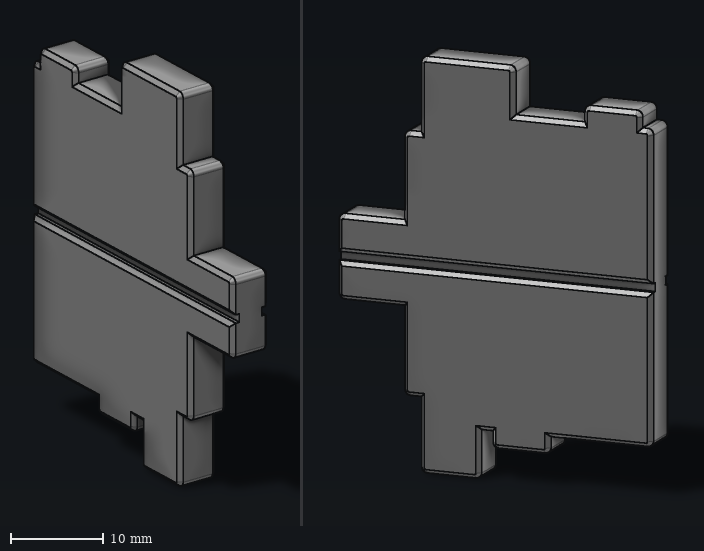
import cadquery as cq

length = 36.85
thickness = 5.0
height = 46.6

block_right = 27.2
step_right = 29.15
upper_block_left = 16.12
lower_block_left = 20.15
upper_tab_left = 1.25
lower_tab_left = 12.0
tab_width = 6.8

block_reach = height / 2
tab_reach = 19.7
shoulder_reach = 17.8
step_reach = 14.8
tongue_reach = 4.8

chamfer = 0.5
corner_radius = 0.7

groove_width = 1.0
groove_depth = 1.0


def half_outline(tab_left, block_left):
    """Corners of one half as (x, distance from the centre line, is an outer corner)."""
    tab_right = tab_left + tab_width
    return [
        (0, shoulder_reach, True),
        (tab_left, shoulder_reach, False),
        (tab_left, tab_reach, True),
        (tab_right, tab_reach, True),
        (tab_right, shoulder_reach, False),
        (block_left, shoulder_reach, False),
        (block_left, block_reach, True),
        (block_right, block_reach, True),
        (block_right, step_reach, False),
        (step_right, step_reach, True),
        (step_right, tongue_reach, False),
        (length, tongue_reach, True),
    ]


def half_plate(tab_left, block_left, side):
    """Chamfered plate on one side of the groove: side is 1 above the centre line, -1 below."""
    outline = half_outline(tab_left, block_left)
    groove_edge = side * groove_width / 2
    points = [(0, groove_edge)]
    points += [(x, side * reach) for x, reach, _ in outline]
    points += [(length, groove_edge)]
    plate = cq.Workplane("XZ").polyline(points).close().extrude(thickness / 2, both=True)
    for x, reach, is_outer in outline:
        if is_outer:
            corner = cq.selectors.NearestToPointSelector((x, 0, side * reach))
            plate = plate.edges("|Y").edges(corner).fillet(corner_radius)
    return plate.faces("<Y or >Y").edges().chamfer(chamfer)


def groove_web():
    """Thin strip left between the two grooves, joining the halves."""
    return cq.Workplane("XY").box(
        length,
        thickness - 2 * groove_depth,
        groove_width,
        centered=(False, True, True),
    )


upper_half = half_plate(upper_tab_left, upper_block_left, 1)
lower_half = half_plate(lower_tab_left, lower_block_left, -1)
result = upper_half.union(lower_half).union(groove_web())